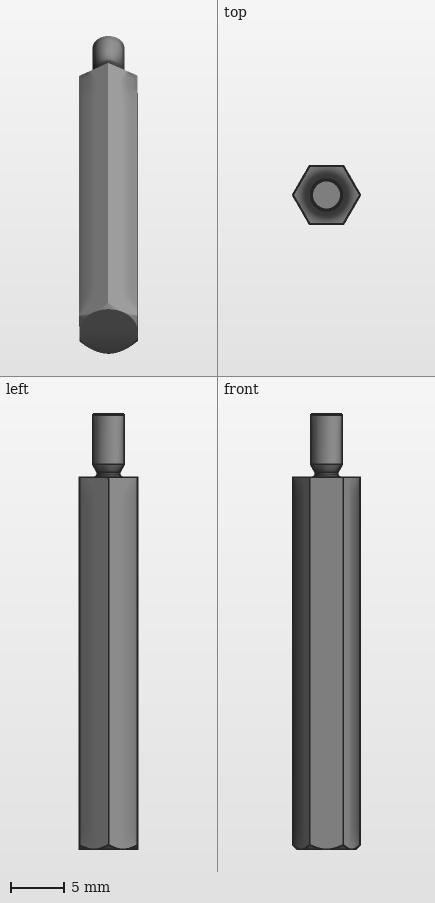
import cadquery as cq
import math

total_length = 41.0
across_flats = 5.5
across_corners = across_flats / math.cos(math.radians(30))

stud_length = 6.0
stud_diameter = 3.0
tip_diameter = 2.7
tip_chamfer_height = 0.15

neck_diameter = 2.15
undercut_length = 1.25
runout_angle = 30.0
neck_fillet = 0.3

base_diameter = across_flats

shoulder_z = total_length - stud_length


def hexagonal_body():
    """Hexagonal bar with two corners on the X axis, turned down at its lower end."""
    bar = cq.Workplane("XY").polygon(6, across_corners).extrude(shoulder_z)
    corner_radius = across_corners / 2
    chamfer_height = corner_radius - base_diameter / 2
    envelope = (
        cq.Workplane("XY")
        .circle(corner_radius)
        .extrude(shoulder_z)
        .faces("<Z")
        .chamfer(chamfer_height)
    )
    return bar.intersect(envelope)


def stud():
    """Turned stud with a chamfered tip and a filleted, conical undercut."""
    stud_radius = stud_diameter / 2
    neck_radius = neck_diameter / 2
    runout_height = (stud_radius - neck_radius) / math.tan(math.radians(runout_angle))
    runout_top = shoulder_z + undercut_length
    fillet_drop = neck_fillet * (1 - math.cos(math.radians(45)))
    profile = (
        cq.Workplane("XZ")
        .moveTo(0, shoulder_z)
        .lineTo(neck_radius + neck_fillet, shoulder_z)
        .threePointArc(
            (neck_radius + fillet_drop, shoulder_z + fillet_drop),
            (neck_radius, shoulder_z + neck_fillet),
        )
        .lineTo(neck_radius, runout_top - runout_height)
        .lineTo(stud_radius, runout_top)
        .lineTo(stud_radius, total_length - tip_chamfer_height)
        .lineTo(tip_diameter / 2, total_length)
        .lineTo(0, total_length)
        .close()
    )
    return profile.revolve(360, (0, 0, 0), (0, 1, 0))


result = hexagonal_body().union(stud())